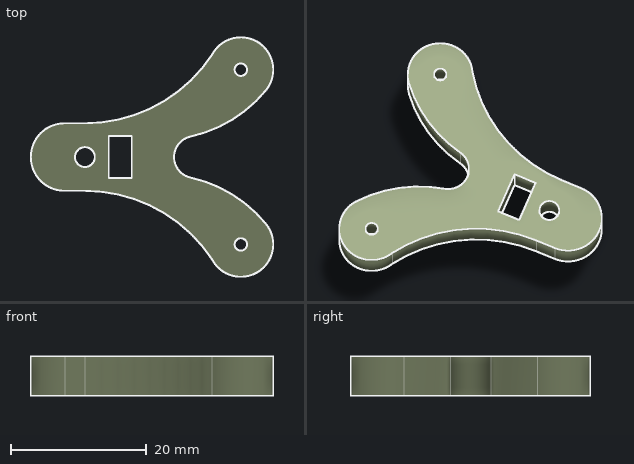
import cadquery as cq
import math

thickness = 5.85
overall_length = 35.8
overall_width = 35.37

tail_radius = 5.0
tail_straight = 3.0
arm_end_radius = 4.8
crotch_radius = 3.08
crotch_bottom_x = 13.16
outer_flank_radius = 22.44
inner_flank_radius = 20.0

pivot_hole_diameter = 2.9
arm_hole_diameter = 1.8
slot_start_x = 3.53
slot_length = 3.37
slot_width = 6.17

tail_x = -tail_straight
tail_tip_x = tail_x - tail_radius
arm_x = tail_tip_x + overall_length - arm_end_radius
arm_y = overall_width / 2 - arm_end_radius
arm_center = (arm_x, arm_y)
crotch_center = (crotch_bottom_x + crotch_radius, 0.0)


def point_towards(start, target, distance):
    """Point at a signed distance from start along the line to target."""
    span = math.dist(start, target)
    return tuple(s + (t - s) * distance / span for s, t in zip(start, target))


def left_intersection(center_a, radius_a, center_b, radius_b):
    """Crossing of two circles that lies to the left of the direction from a to b."""
    span = math.dist(center_a, center_b)
    along = (radius_a**2 - radius_b**2 + span**2) / (2 * span)
    across = math.sqrt(radius_a**2 - along**2)
    ux = (center_b[0] - center_a[0]) / span
    uy = (center_b[1] - center_a[1]) / span
    return (
        center_a[0] + along * ux - across * uy,
        center_a[1] + along * uy + across * ux,
    )


def mid_arc(center, radius, start, end):
    """Middle point of the shorter arc from start to end."""
    chord_middle = ((start[0] + end[0]) / 2, (start[1] + end[1]) / 2)
    return point_towards(center, chord_middle, radius)


def mirrored(point):
    return (point[0], -point[1])


def plate():
    outer_center = (0.0, tail_radius + outer_flank_radius)
    inner_center = left_intersection(
        crotch_center,
        inner_flank_radius + crotch_radius,
        arm_center,
        inner_flank_radius - arm_end_radius,
    )

    tail_end = (tail_x, tail_radius)
    flank_start = (0.0, tail_radius)
    arm_start = left_intersection(arm_center, arm_end_radius, outer_center, outer_flank_radius)
    arm_finish = point_towards(arm_center, inner_center, -arm_end_radius)
    crotch_start = point_towards(crotch_center, inner_center, crotch_radius)

    outer_mid = mid_arc(outer_center, outer_flank_radius, flank_start, arm_start)
    arm_neck = mid_arc(arm_center, arm_end_radius, arm_start, arm_finish)
    arm_tip = point_towards(arm_center, arm_neck, -arm_end_radius)
    inner_mid = mid_arc(inner_center, inner_flank_radius, arm_finish, crotch_start)

    return (
        cq.Workplane("XY")
        .moveTo(*tail_end)
        .lineTo(*flank_start)
        .threePointArc(outer_mid, arm_start)
        .threePointArc(arm_tip, arm_finish)
        .threePointArc(inner_mid, crotch_start)
        .threePointArc((crotch_bottom_x, 0.0), mirrored(crotch_start))
        .threePointArc(mirrored(inner_mid), mirrored(arm_finish))
        .threePointArc(mirrored(arm_tip), mirrored(arm_start))
        .threePointArc(mirrored(outer_mid), mirrored(flank_start))
        .lineTo(*mirrored(tail_end))
        .threePointArc((tail_tip_x, 0.0), tail_end)
        .close()
        .extrude(thickness)
    )


def through_hole(center, diameter):
    return cq.Workplane("XY").center(*center).circle(diameter / 2).extrude(thickness)


def slot():
    slot_center_x = slot_start_x + slot_length / 2
    return cq.Workplane("XY").center(slot_center_x, 0.0).rect(slot_length, slot_width).extrude(thickness)


result = plate().cut(through_hole((0.0, 0.0), pivot_hole_diameter)).cut(slot())
for hole_center in (arm_center, mirrored(arm_center)):
    result = result.cut(through_hole(hole_center, arm_hole_diameter))